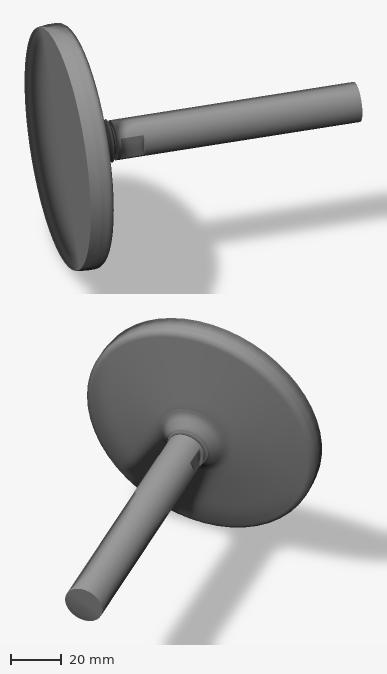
import cadquery as cq
import math

TOTAL_LENGTH = 122.0

plate_radius = 98.0 / 2
sole_taper = 0.5
rim_start = 4.1
rim_end = 7.2
shoulder_radius = 2.7

hub_fillet_start_radius = 11.7
hub_fillet_start_height = 16.7
hub_base_radius = 13.0
hub_base_height = 15.2
hub_top_radius = 8.2
hub_top_height = 20.1
lip_radius = 8.7
lip_height = 20.9
lip_top_radius = 6.6
foot_height = 21.7

stud_radius = 16.0 / 2
neck_radius = 5.7
stud_start = 22.5
flat_distance = 6.5
flat_start = 23.9
flat_length = 9.4


def make_foot():
    """Revolved plate with a rounded shoulder, a filleted conical hub and a flared lip."""
    center_radius = plate_radius - shoulder_radius
    run = center_radius - hub_base_radius
    rise = hub_base_height - rim_end
    reach = math.hypot(run, rise)
    end_angle = math.atan2(rise, -run) - math.acos(shoulder_radius / reach)
    slope = math.pi / 2 - end_angle

    fillet_length = math.hypot(
        hub_base_radius - hub_fillet_start_radius,
        hub_fillet_start_height - hub_base_height,
    )
    fillet_end_radius = hub_base_radius + fillet_length * math.cos(slope)
    fillet_end_height = hub_base_height - fillet_length * math.sin(slope)

    def shoulder_point(angle):
        return (
            center_radius + shoulder_radius * math.cos(angle),
            rim_end + shoulder_radius * math.sin(angle),
        )

    return (
        cq.Workplane("XY")
        .lineTo(plate_radius - sole_taper, 0)
        .lineTo(plate_radius, rim_start)
        .lineTo(plate_radius, rim_end)
        .threePointArc(shoulder_point(end_angle / 2), shoulder_point(end_angle))
        .lineTo(fillet_end_radius, fillet_end_height)
        .tangentArcPoint((hub_fillet_start_radius, hub_fillet_start_height), relative=False)
        .lineTo(hub_top_radius, hub_top_height)
        .lineTo(lip_radius, lip_height)
        .lineTo(lip_top_radius, foot_height)
        .lineTo(0, foot_height)
        .close()
        .revolve(360, (0, 0, 0), (0, 1, 0))
    )


def make_stud():
    """Round stud on a short neck, with two opposite wrench flats."""
    stud = (
        cq.Workplane("XY")
        .moveTo(0, foot_height)
        .lineTo(neck_radius, foot_height)
        .lineTo(neck_radius, stud_start)
        .lineTo(stud_radius, stud_start)
        .lineTo(stud_radius, TOTAL_LENGTH)
        .lineTo(0, TOTAL_LENGTH)
        .close()
        .revolve(360, (0, 0, 0), (0, 1, 0))
    )
    cutter_width = 2 * stud_radius
    for side in (-1, 1):
        cutter = cq.Workplane("XY").box(cutter_width, flat_length, cutter_width)
        cutter_x = side * (flat_distance + cutter_width / 2)
        stud = stud.cut(cutter.translate((cutter_x, flat_start + flat_length / 2, 0)))
    return stud


foot = make_foot()
stud = make_stud()
result = cq.Compound.makeCompound([foot.val(), stud.val()])